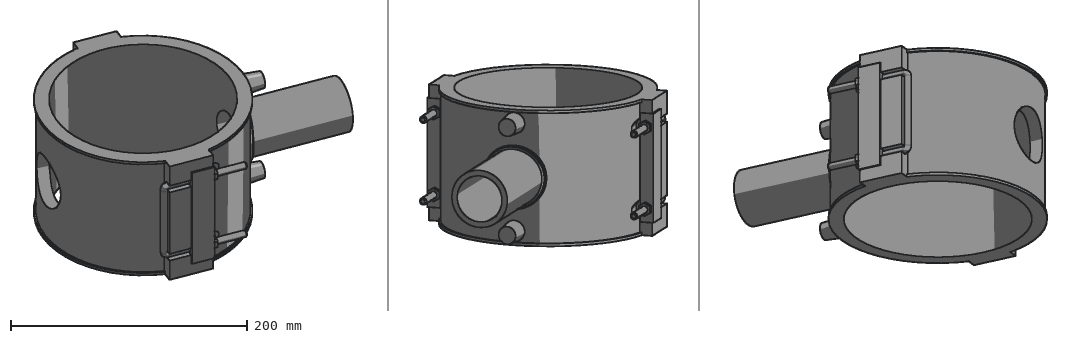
import cadquery as cq
import math

ring_height = 118.0
bore_radius = 79.7
barrel_radius = 91.0
rim_radius = 92.7
rim_thickness = 2.5

pipe_diameter = 49.5
pipe_bore_diameter = 40.0
pipe_end_y = 184.0
collar_diameter = 55.0
collar_surface_radius = 94.7
collar_chamfer = 0.8
access_hole_diameter = 49.0

peg_tip_diameter = 15.2
peg_base_diameter = 18.3
peg_tip_y = 110.2
peg_z = 46.8

lug_outer_x = 99.7
lug_half_depth = 20.2
plate_inner_x = 89.0
plate_outer_x = 101.0
plate_half_height = 47.3
plate_end_y = 21.0

bolt_diameter = 6.0
bolt_tip_diameter = 4.0
bolt_x = 94.0
bolt_z = 35.5
bolt_end_y = 53.5
slot_width = 7.0
nut_across_flats = 10.0
nut_end_y = 25.0
spotface_diameter = 17.7
bar_inset = 0.3

bolt_radius = bolt_diameter / 2
half_height = ring_height / 2


def disc(radius, height, bottom_z):
    """Cylinder about the Z axis."""
    return cq.Workplane("XY").workplane(offset=bottom_z).circle(radius).extrude(height)


def block(x_range, y_range, z_range):
    """Axis-aligned block between pairs of limits."""
    size = [high - low for low, high in (x_range, y_range, z_range)]
    corner = (x_range[0], y_range[0], z_range[0])
    return cq.Workplane("XY").box(*size, centered=False).translate(corner)


def rod(diameter, y_start, y_end, x=0, z=0):
    """Cylinder parallel to Y."""
    base = cq.Plane(origin=(x, y_start, z), xDir=(1, 0, 0), normal=(0, 1, 0))
    return cq.Workplane(base).circle(diameter / 2).extrude(y_end - y_start)


def ring_blank():
    """Solid barrel with a raised rim at each end."""
    blank = disc(barrel_radius, ring_height, -half_height)
    for bottom_z in (-half_height, half_height - rim_thickness):
        blank = blank.union(disc(rim_radius, rim_thickness, bottom_z))
    return blank


def peg(z):
    """Tapered peg rooted inside the ring wall."""
    root_y = (bore_radius + barrel_radius) / 2
    taper = (peg_base_diameter - peg_tip_diameter) / (peg_tip_y - barrel_radius)
    root_diameter = peg_tip_diameter + taper * (peg_tip_y - root_y)
    base = cq.Plane(origin=(0, root_y, z), xDir=(1, 0, 0), normal=(0, 1, 0))
    return (
        cq.Workplane(base)
        .circle(root_diameter / 2)
        .workplane(offset=peg_tip_y - root_y)
        .circle(peg_tip_diameter / 2)
        .loft()
    )


def collar():
    """Saddle around the pipe with a chamfered outer face concentric with the ring."""
    saddle = rod(collar_diameter, 0, pipe_end_y)
    saddle = saddle.intersect(disc(collar_surface_radius, ring_height, -half_height))
    return saddle.faces(">Y").edges().chamfer(collar_chamfer)


def lug():
    """Clamping lug on the +X side, over the full height."""
    depth = (-lug_half_depth, lug_half_depth)
    return block((bore_radius, lug_outer_x), depth, (-half_height, half_height))


def side_plate():
    """Plate wrapping the outer and rear faces of the +X lug."""
    height = (-plate_half_height, plate_half_height)
    return block((plate_inner_x, plate_outer_x), (0, plate_end_y), height)


def bolt_slot(z):
    """Open slot in the front half of the +X lug, round at its inner end."""
    depth = (-lug_half_depth, 0)
    height = (z - slot_width / 2, z + slot_width / 2)
    return block((bolt_x, lug_outer_x), depth, height).union(rod(slot_width, *depth, bolt_x, z))


def u_bolt():
    """U-bolt on the +X side: crossbar in front, two legs pointing to +Y."""
    bend = bolt_radius
    leg_front_y = bar_inset - lug_half_depth
    bar_y = leg_front_y - bend
    path = (
        cq.Workplane("YZ", origin=(bolt_x, 0, 0))
        .moveTo(bolt_end_y, -bolt_z)
        .lineTo(leg_front_y, -bolt_z)
        .radiusArc((bar_y, -bolt_z + bend), bend)
        .lineTo(bar_y, bolt_z - bend)
        .radiusArc((leg_front_y, bolt_z), bend)
        .lineTo(bolt_end_y, bolt_z)
    )
    start = cq.Plane(origin=(bolt_x, bolt_end_y, -bolt_z), xDir=(1, 0, 0), normal=(0, -1, 0))
    bolt = cq.Workplane(start).circle(bolt_radius).sweep(path)
    return bolt.faces(">Y").chamfer((bolt_diameter - bolt_tip_diameter) / 2)


def nut(z):
    """Hexagonal nut with corners pointing to +Z and -Z."""
    across_corners = nut_across_flats / math.cos(math.pi / 6)
    base = cq.Plane(origin=(bolt_x, 0, z), xDir=(0, 0, 1), normal=(0, 1, 0))
    return cq.Workplane(base).polygon(6, across_corners).extrude(nut_end_y)


def both_sides(shape):
    """The shape together with its mirror image across X = 0."""
    return shape.union(shape.mirror("YZ"))


body = ring_blank()
for z in (-bolt_z, bolt_z):
    body = body.cut(both_sides(rod(spotface_diameter, lug_half_depth, bolt_end_y, bolt_x, z)))
body = body.union(both_sides(lug()))

body = body.union(collar()).union(rod(pipe_diameter, 0, pipe_end_y))
for z in (-peg_z, peg_z):
    body = body.union(peg(z))

body = body.cut(disc(bore_radius, ring_height, -half_height))
body = body.cut(rod(pipe_bore_diameter, 0, pipe_end_y))
body = body.cut(rod(access_hole_diameter, -rim_radius, 0))

clamp = side_plate().union(u_bolt())
for z in (-bolt_z, bolt_z):
    body = body.cut(both_sides(bolt_slot(z)))
    clamp = clamp.union(nut(z))

result = body.union(both_sides(clamp))